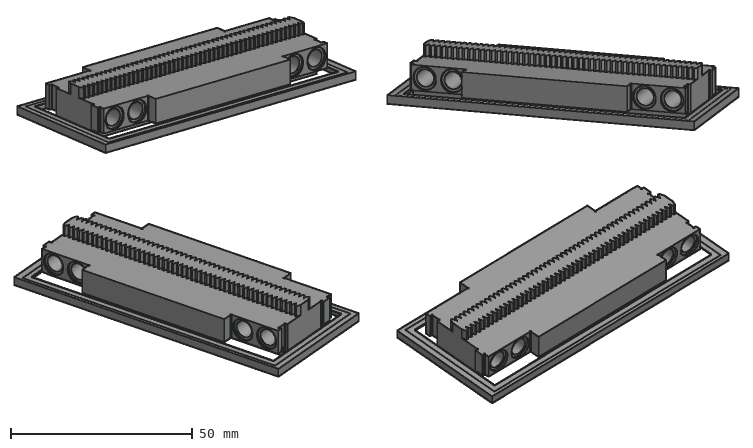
import cadquery as cq
FRAME_WIDTH = 38.4
FRAME_LENGTH = 89.4
FRAME_HEIGHT = 2.5
OPENING_WIDTH = 32.4
OPENING_LENGTH = 81.8
LIP_THICKNESS = 0.2
LIP_REACH = 1.8

TOTAL_HEIGHT = 13.2
HOUSING_BOTTOM = 2.7
HOUSING_TOP = 10.0
HOUSING_WIDTH = 25.3
HOUSING_LENGTH = 79.8
WING_WIDTH = 31.8
WING_LENGTH = 48.1
FOOT_WIDTH = 17.9

TAB_CENTRE_X = 9.6
TAB_WIDTH = 2.9
TAB_DEPTH = 0.8
RELIEF_RADIUS = 0.2

HOLE_DIAMETER = 5.0
COUNTERBORE_DIAMETER = 6.6
COUNTERBORE_DEPTH = 0.7
INNER_HOLE_Y = 28.0
OUTER_HOLE_Y = 36.0

TOOTH_COUNT = 50
RACK_ROOT_HALF_WIDTH = 1.8
RACK_TIP_HALF_WIDTH = 3.2

hole_z = (HOUSING_TOP + HOUSING_BOTTOM) / 2


def slab(width, length, bottom, height, centre=(0, 0)):
    """Rectangular block standing on the given bottom height."""
    return (
        cq.Workplane("XY", origin=(0, 0, bottom))
        .center(*centre)
        .rect(width, length)
        .extrude(height)
    )


def make_frame():
    ring = slab(FRAME_WIDTH, FRAME_LENGTH, 0, FRAME_HEIGHT)
    opening = slab(OPENING_WIDTH, OPENING_LENGTH, 0, FRAME_HEIGHT)
    rebate = slab(
        OPENING_WIDTH + 2 * LIP_REACH,
        OPENING_LENGTH + 2 * LIP_REACH,
        0,
        FRAME_HEIGHT - LIP_THICKNESS,
    )
    return ring.cut(opening).cut(rebate)


def make_core():
    """Narrow block from the ground up, with a tab and a notch at each end.

    Each notch mirrors the tab beside it across X.
    """
    core = slab(HOUSING_WIDTH, HOUSING_LENGTH, 0, HOUSING_TOP)
    for end in (-1, 1):
        edge_y = end * HOUSING_LENGTH / 2
        tab_x = -end * TAB_CENTRE_X
        tab = slab(TAB_WIDTH, 2 * TAB_DEPTH, 0, HOUSING_TOP, (tab_x, edge_y))
        notch = slab(TAB_WIDTH, 2 * TAB_DEPTH, 0, HOUSING_TOP, (-tab_x, edge_y))
        core = core.union(tab).cut(notch)
    return core


def corner_reliefs():
    """Small vertical drill-outs in every inside corner of the housing outline."""
    end_y = HOUSING_LENGTH / 2
    points = []
    for end in (-1, 1):
        for side in (-1, 1):
            points.append((side * HOUSING_WIDTH / 2, end * WING_LENGTH / 2))
            tab_edge = side * TAB_WIDTH / 2
            points.append((-end * TAB_CENTRE_X + tab_edge, end * end_y))
            points.append((end * TAB_CENTRE_X + tab_edge, end * (end_y - TAB_DEPTH)))
    return cq.Workplane("XY").pushPoints(points).circle(RELIEF_RADIUS).extrude(HOUSING_TOP)


def foot_clearance():
    """Space on both sides of the foot, below the underside of the housing."""
    side_width = (WING_WIDTH - FOOT_WIDTH) / 2
    side_x = (WING_WIDTH + FOOT_WIDTH) / 4
    left = slab(side_width, FRAME_LENGTH, 0, HOUSING_BOTTOM, (-side_x, 0))
    right = slab(side_width, FRAME_LENGTH, 0, HOUSING_BOTTOM, (side_x, 0))
    return left.union(right)


def cross_holes():
    """Through holes along X; each hole is counterbored at both mouths."""
    half = HOUSING_WIDTH / 2
    cutter = cq.Workplane("YZ")
    for end in (-1, 1):
        centres = [(end * INNER_HOLE_Y, hole_z), (end * OUTER_HOLE_Y, hole_z)]
        bores = (
            cq.Workplane("YZ", origin=(-half, 0, 0))
            .pushPoints(centres)
            .circle(HOLE_DIAMETER / 2)
            .extrude(HOUSING_WIDTH)
        )
        cutter = cutter.add(bores)
        for side in (-1, 1):
            counterbores = (
                cq.Workplane("YZ", origin=(side * half, 0, 0))
                .pushPoints(centres)
                .circle(COUNTERBORE_DIAMETER / 2)
                .extrude(-side * COUNTERBORE_DEPTH)
            )
            cutter = cutter.add(counterbores)
    return cutter.combine()


def make_rack():
    """Bar with flat-topped teeth and sharp roots along both long sides."""
    pitch = HOUSING_LENGTH / TOOTH_COUNT
    tip = pitch / 3
    start = -HOUSING_LENGTH / 2
    side = [(RACK_ROOT_HALF_WIDTH, start)]
    for tooth in range(TOOTH_COUNT):
        middle = start + (tooth + 0.5) * pitch
        side.append((RACK_TIP_HALF_WIDTH, middle - tip / 2))
        side.append((RACK_TIP_HALF_WIDTH, middle + tip / 2))
        side.append((RACK_ROOT_HALF_WIDTH, middle + pitch / 2))
    mirrored = [(-x, y) for x, y in reversed(side)]
    return (
        cq.Workplane("XY", origin=(0, 0, HOUSING_TOP))
        .polyline(side + mirrored)
        .close()
        .extrude(TOTAL_HEIGHT - HOUSING_TOP)
    )


def make_housing():
    wings = slab(WING_WIDTH, WING_LENGTH, 0, HOUSING_TOP)
    body = make_core().union(wings).cut(corner_reliefs()).cut(foot_clearance())
    return body.cut(cross_holes()).union(make_rack())


frame = make_frame()
housing = make_housing()
result = cq.Compound.makeCompound([frame.val(), housing.val()])